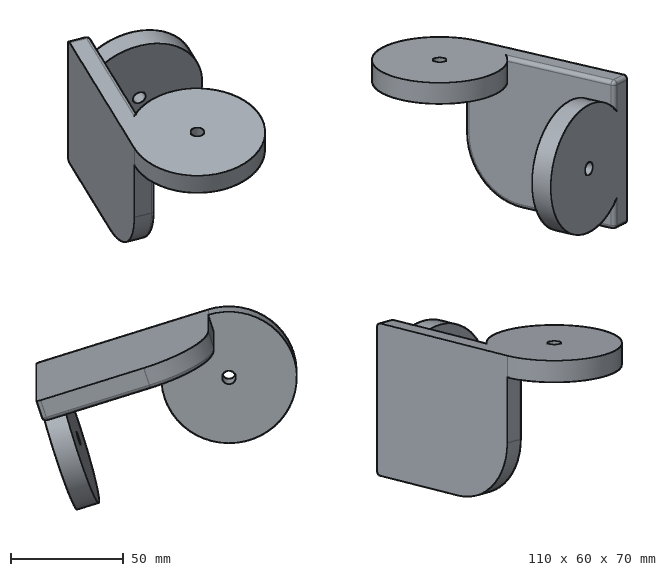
import cadquery as cq

overall_length = 110.0
disc_radius = 30.0
thickness = 10.0
plate_height = 70.0
hole_diameter = 6.0
edge_radius = 2.0

plate_length = overall_length - disc_radius

plate = cq.Workplane("XY").box(plate_length, thickness, plate_height, centered=False)
plate = plate.edges("|Y and >X and <Z").fillet(disc_radius)

plate = plate.edges("|Y and <X").fillet(edge_radius)
plate = plate.faces(">Y").edges().fillet(edge_radius)


def mounting_disc(workplane):
    """Return a round disc with a central hole, extruded from the workplane."""
    return workplane.circle(disc_radius).circle(hole_diameter / 2).extrude(thickness)


top_plane = cq.Workplane("XY", origin=(plate_length, disc_radius, plate_height - thickness))
top_disc = mounting_disc(top_plane)

side_plane = cq.Workplane("YZ", origin=(0, disc_radius, plate_height / 2))
side_disc = mounting_disc(side_plane)

result = plate.union(top_disc).union(side_disc)